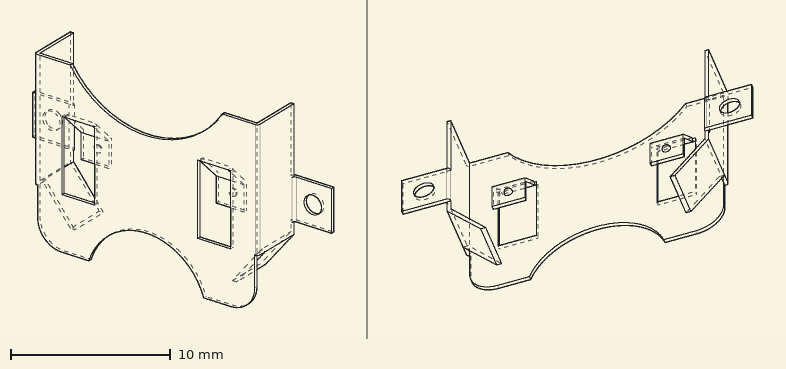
import cadquery as cq
import math

sheet = 0.25
length = 23.2
depth = 4.05
height = 13.25
top = height / 2
bottom = -top
overlap = 0.05

wall_outer = 8.68
wall_inner = wall_outer - sheet
wall_bottom = -2.48
wall_back = 3.83
front_bend_radius = 0.19

plate_half_width = wall_inner
corner_radius = 1.85
notch_depth = 3.22
top_notch_half_width = 5.9
bottom_notch_half_width = 4.45

slot_inner, slot_outer = 4.0, 6.55
slot_bottom, slot_top = -2.6, 2.85
tongue_width = 2.18
tongue_center = 5.25
tongue_back = 2.0
tongue_bend_z = 1.11
tongue_bottom = -0.8
tongue_bend_radius = 0.19
bump_radius = 0.28

tab_height = 3.13
tab_hole_x = 10.15
tab_hole_diameter = 1.35
tab_outer_radius = 0.2
tab_inner_radius = 0.19

flap_front = 0.8
flap_drop = 2.75
flap_angle = 51.0


def box(x0, x1, y0, y1, z0, z1):
    return cq.Workplane("XY").box(x1 - x0, y1 - y0, z1 - z0, centered=False).translate((x0, y0, z0))


def make_plate():
    """Front plate with a curved notch in its top and bottom edges and two slots."""
    plate = (
        cq.Workplane("XZ")
        .moveTo(-plate_half_width, top)
        .lineTo(-top_notch_half_width, top)
        .threePointArc((0, top - notch_depth), (top_notch_half_width, top))
        .lineTo(plate_half_width, top)
        .lineTo(plate_half_width, bottom + corner_radius)
        .radiusArc((plate_half_width - corner_radius, bottom), corner_radius)
        .lineTo(bottom_notch_half_width, bottom)
        .threePointArc((0, bottom + notch_depth), (-bottom_notch_half_width, bottom))
        .lineTo(-plate_half_width + corner_radius, bottom)
        .radiusArc((-plate_half_width, bottom + corner_radius), corner_radius)
        .close()
        .extrude(-sheet)
    )
    for x0, x1 in ((-slot_outer, -slot_inner), (slot_inner, slot_outer)):
        plate = plate.cut(box(x0, x1, -overlap, sheet + overlap, slot_bottom, slot_top))
    return plate


def make_wall():
    """Right side wall, including its rounded bend into the plate."""
    wall = box(wall_inner, wall_outer, 0, wall_back, wall_bottom, top)
    wall = wall.edges("|Z and >X and <Y").fillet(front_bend_radius)
    return wall.union(box(wall_inner - overlap, wall_inner + overlap, 0, sheet, wall_bottom, top))


def make_tab():
    """Right mounting tab with its bend and screw hole."""
    tab_front = depth - sheet
    bend_front = tab_front - tab_inner_radius
    bend_side = wall_outer + tab_inner_radius
    tab = (
        cq.Workplane("XY")
        .moveTo(wall_inner, bend_front)
        .lineTo(wall_inner, depth - tab_outer_radius)
        .radiusArc((wall_inner + tab_outer_radius, depth), tab_outer_radius)
        .lineTo(length / 2, depth)
        .lineTo(length / 2, tab_front)
        .lineTo(bend_side, tab_front)
        .radiusArc((wall_outer, bend_front), -tab_inner_radius)
        .close()
        .extrude(tab_height / 2, both=True)
    )
    hole = cq.Workplane("XZ").center(tab_hole_x, 0).circle(tab_hole_diameter / 2).extrude(-depth)
    return tab.cut(hole)


def make_flap():
    """Flat flap leaning inward and down from the right wall, with a level end."""
    angle = math.radians(flap_angle)
    run = flap_drop / math.tan(angle)
    tip_x = wall_outer - run
    tip_z = wall_bottom - flap_drop
    root_z = wall_bottom + sheet * math.tan(angle / 2)
    return (
        cq.Workplane("XZ", origin=(0, flap_front, 0))
        .moveTo(wall_outer, wall_bottom)
        .lineTo(tip_x, tip_z)
        .lineTo(tip_x - sheet / math.sin(angle), tip_z)
        .lineTo(wall_inner, root_z)
        .lineTo(wall_outer, root_z)
        .close()
        .extrude(-(wall_back - flap_front))
    )


def make_tongue():
    """Right spring tongue: a slope from the slot top, a vertical end and a contact bump."""
    tongue_front = tongue_back - sheet
    slope = math.atan2(slot_top - tongue_bend_z, tongue_front)
    slope_height = sheet / math.cos(slope)
    bend_rise = sheet * math.tan(math.pi / 4 - slope / 2)
    tongue = (
        cq.Workplane("YZ", origin=(tongue_center, 0, 0))
        .moveTo(0, slot_top)
        .lineTo(tongue_front, tongue_bend_z)
        .lineTo(tongue_front, tongue_bottom)
        .lineTo(tongue_back, tongue_bottom)
        .lineTo(tongue_back, tongue_bend_z + bend_rise)
        .lineTo(0, slot_top + slope_height)
        .close()
        .extrude(tongue_width / 2, both=True)
    )
    bend_edge = cq.selectors.NearestToPointSelector((tongue_center, tongue_back, tongue_bend_z + bend_rise))
    tongue = tongue.edges("|X").edges(bend_edge).fillet(tongue_bend_radius)
    bump_z = (tongue_bend_z + tongue_bottom) / 2
    bump = cq.Workplane("XY").sphere(bump_radius).translate((tongue_center, tongue_back, bump_z))
    return tongue.union(bump.intersect(box(0, length, tongue_front + overlap, depth, bottom, top)))


right_side = make_wall().union(make_tab()).union(make_flap()).union(make_tongue())
result = make_plate().union(right_side).union(right_side.mirror("YZ"))